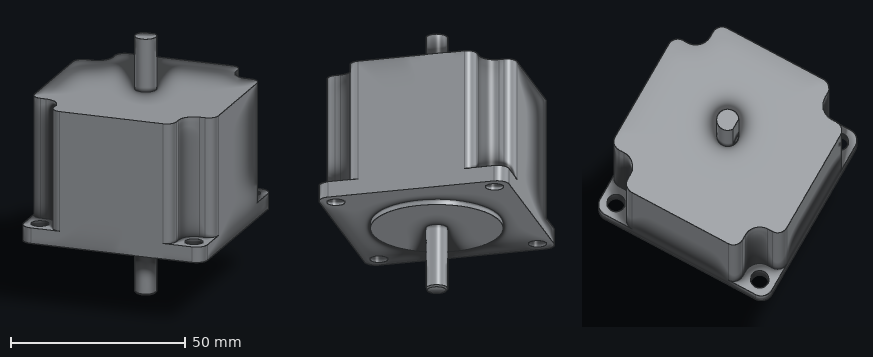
import cadquery as cq
import math

total_height = 77.6
body_width = 56.4
body_height = 41.0
upper_shaft_length = 16.0
flange_thickness = 4.7
pilot_height = 1.6
body_top = total_height - upper_shaft_length
flange_bottom = body_top - body_height
flange_top = flange_bottom + flange_thickness

flange_corner_radius = 3.5
hole_spacing = 47.2
hole_diameter = 5.2
relief_radius = 4.7
relief_edge_radius = 3.0

pilot_diameter = 38.1
shaft_diameter = 6.4
shaft_chamfer = 0.5
flat_depth = 0.505
flat_length = 15.0


def make_flange():
    return (
        cq.Workplane("XY", origin=(0, 0, flange_bottom))
        .rect(body_width, body_width)
        .extrude(flange_thickness)
        .edges("|Z")
        .fillet(flange_corner_radius)
        .faces(">Z")
        .workplane()
        .rect(hole_spacing, hole_spacing, forConstruction=True)
        .vertices()
        .hole(hole_diameter)
    )


def make_body():
    """Square block with a rounded relief over each mounting hole."""
    side = body_width / 2
    hole = hole_spacing / 2
    wall = hole - relief_radius
    round_end = wall - relief_edge_radius
    round_start = side - relief_edge_radius
    round_mid = relief_edge_radius * math.sqrt(0.5)
    relief_mid = hole - relief_radius * math.sqrt(0.5)

    relief = (
        cq.Workplane("XY", origin=(0, 0, flange_top))
        .moveTo(side, round_end)
        .threePointArc((round_start + round_mid, round_end + round_mid), (round_start, wall))
        .lineTo(hole, wall)
        .threePointArc((relief_mid, relief_mid), (wall, hole))
        .lineTo(wall, round_start)
        .threePointArc((round_end + round_mid, round_start + round_mid), (round_end, side))
        .lineTo(side, side)
        .close()
        .extrude(body_top - flange_top)
    )
    body = (
        cq.Workplane("XY", origin=(0, 0, flange_top))
        .rect(body_width, body_width)
        .extrude(body_top - flange_top)
    )
    for corner in range(4):
        body = body.cut(relief.rotate((0, 0, 0), (0, 0, 1), 90 * corner))
    return body


def make_pilot():
    return (
        cq.Workplane("XY", origin=(0, 0, flange_bottom - pilot_height))
        .circle(pilot_diameter / 2)
        .extrude(pilot_height)
    )


def make_shaft():
    """Through shaft, chamfered at the lower tip, with a +Y flat at both ends."""
    shaft = (
        cq.Workplane("XY")
        .circle(shaft_diameter / 2)
        .extrude(total_height)
        .faces("<Z")
        .chamfer(shaft_chamfer)
    )
    flat_y = shaft_diameter / 2 - flat_depth
    for flat_start in (0, total_height - flat_length):
        flat_cutter = cq.Workplane("XY").box(
            shaft_diameter, shaft_diameter, flat_length, centered=(True, False, False)
        )
        shaft = shaft.cut(flat_cutter.translate((0, flat_y, flat_start)))
    return shaft


result = make_flange().union(make_body()).union(make_pilot()).union(make_shaft())